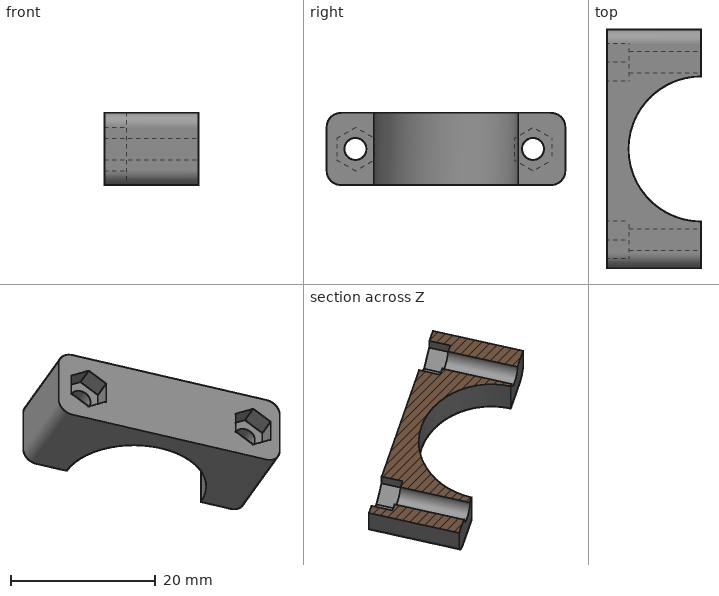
import cadquery as cq

length = 33.0
width = 13.0
height = 10.0
edge_radius = 2.0
saddle_radius = 10.0

bolt_diameter = 3.0
nut_across_corners = 6.0
nut_depth = 3.0
bolt_positions = (-12.5, 12.0)


def make_block():
    """Block with its back face at X = 0 and rounded edges along X."""
    block = cq.Workplane("XY").box(width, length, height, centered=(False, True, True))
    return block.edges("|X").fillet(edge_radius)


def make_saddle():
    """Vertical cylinder centred on the open front face."""
    return cq.Workplane("XY").center(width, 0).circle(saddle_radius).extrude(height, both=True)


def make_bolt_hole(y):
    """Through hole along X with a hexagonal nut pocket, corners up and down."""
    back_face = cq.Workplane("YZ").center(y, 0)
    hole = back_face.circle(bolt_diameter / 2).extrude(width)
    nut = back_face.transformed(rotate=(0, 0, 90)).polygon(6, nut_across_corners).extrude(nut_depth)
    return hole.union(nut)


result = make_block().cut(make_saddle())
for bolt_y in bolt_positions:
    result = result.cut(make_bolt_hole(bolt_y))